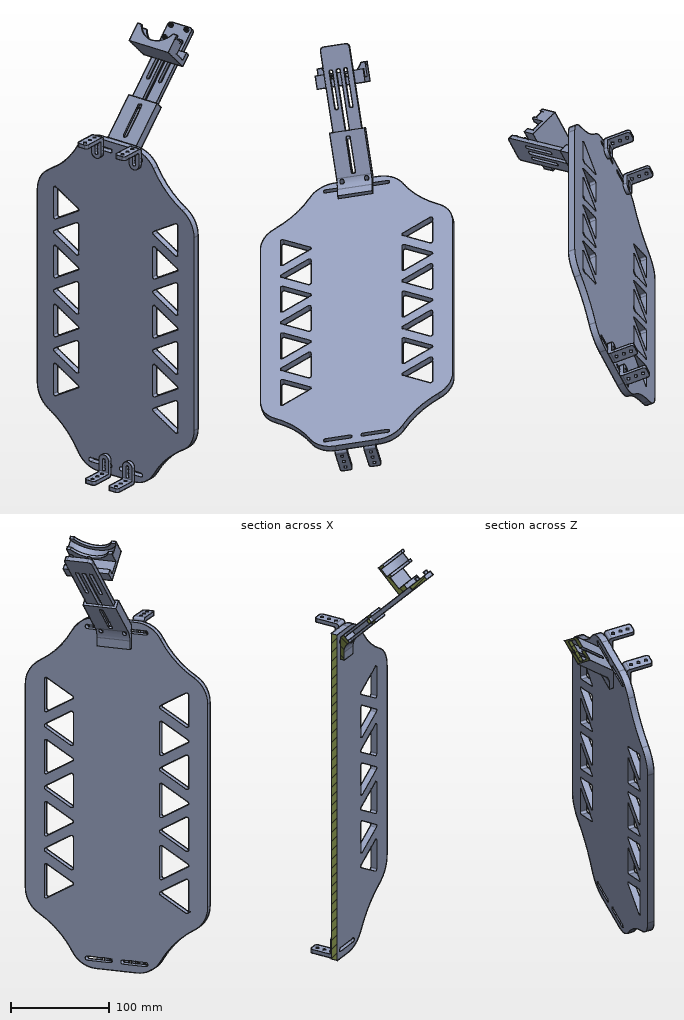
import cadquery as cq
import math

PLATE_WIDTH = 200.0
PLATE_HEIGHT = 370.0
PLATE_THICK = 7.0
CORNER_RADIUS = 30.0
SIDE_STRAIGHT = 214.5
END_STRAIGHT = 44.5
WAIST_RADIUS = 99.8

WINDOW_COUNT = 7
WINDOW_PITCH = 33.0
WINDOW_BASE = 39.0
WINDOW_ROUND = 2.0
WINDOW_EDGE = 21.0

PLATE_SLOT_LENGTH = 29.5
PLATE_SLOT_WIDTH = 4.3
PLATE_SLOT_X = 19.5
PLATE_SLOT_INSET = 10.0

BRACKET_WIDTH = 12.5
BRACKET_THICK = 4.5
BRACKET_REACH = 28.5
BRACKET_LEG = 24.0
BRACKET_BEND = 3.5
BRACKET_FILLET = 1.5
FLANGE_ROUND = 3.0
LEG_SLOT_WIDTH = 3.6
LEG_SLOT_START = 6.5
FLANGE_HOLE_DIA = 3.1
FLANGE_HOLE_PITCH = 8.0
FLANGE_HOLE_END = 5.0
TOP_BRACKET_X = [-21.5, 26.5]
BOTTOM_BRACKET_X = [-12.0, 18.0]
TOP_FLANGE_Z = 188.5
BOTTOM_FLANGE_Z = -187.0

ARM_ANGLE = 45.0
ELBOW_Y = 4.0
ELBOW_Z = 183.5

SLEEVE_WIDTH = 36.0
SLEEVE_THICK = 10.0
SLEEVE_LENGTH = 49.5
SLEEVE_SLOT_START = 5.0
SLEEVE_SLOT_END = 43.5
ARM_SLOT_WIDTH = 4.3
FOOT_THICK = 4.5
FOOT_LENGTH = 25.0
FOOT_BLEND = 15.0
FOOT_HOLE_DIA = 4.3
FOOT_HOLE_X = 13.0

SLIDER_WIDTH = 30.0
SLIDER_THICK = 4.8
SLIDER_START = 40.5
SLIDER_END = 137.0
SLIDER_ROUND = 4.0
SLOT_TOP = 112.5
SLOT_END_WALL = 4.5
SIDE_SLOT_START = 71.5
SIDE_SLOT_X = 7.5
SIDE_SLOT_WIDTH = 3.6

POST_DIA = 4.3
POST_HOLE_DIA = 2.0
POST_HEIGHT = 3.5
POST_X = 10.0
POST_PITCH = 14.3
POST_INSET = 4.0

CRADLE_WIDTH = 50.0
CRADLE_START = 95.0
CRADLE_THICK = 5.0
CRADLE_BASE = 14.0
CRADLE_HEIGHT = 34.5
HEAD_DEPTH = 15.0
HEAD_LENGTH = 20.5
SADDLE_RADIUS = 23.0
SADDLE_OFFSET = 10.0
GROOVE_RADIUS = 28.0
SADDLE_RIM = 3.0
CRADLE_HOLE_DIA = 3.6
CRADLE_HOLE_END = 4.0

EXTRA = 4.8

slider_face = -(SLEEVE_THICK - SLIDER_THICK) / 2


def mirrored_x(points):
    return [(sign * x, y) for x, y in points for sign in (-1, 1)]


def box(x_size, along, out):
    """Box centred on X = 0 between two positions along Y and two along Z."""
    return (
        cq.Workplane("XY")
        .box(x_size, along[1] - along[0], out[1] - out[0], centered=(True, False, False))
        .translate((0, along[0], out[0]))
    )


def slot_cutter(x, along, width, out):
    """Round-ended slot that runs along Y."""
    return (
        cq.Workplane("XY", origin=(x, (along[0] + along[1]) / 2, out[0]))
        .slot2D(along[1] - along[0], width, 90)
        .extrude(out[1] - out[0])
    )


def onto_arm(body):
    """Move a body from the arm frame (Y along the arm, Z out of its face, origin at the elbow)."""
    return body.rotate((0, 0, 0), (1, 0, 0), ARM_ANGLE).translate((0, ELBOW_Y, ELBOW_Z))


def plate_outline():
    side = PLATE_WIDTH / 2
    end = PLATE_HEIGHT / 2
    side_centre = (side - CORNER_RADIUS, SIDE_STRAIGHT / 2)
    end_centre = (END_STRAIGHT / 2, end - CORNER_RADIUS)

    dx = end_centre[0] - side_centre[0]
    dz = end_centre[1] - side_centre[1]
    gap = math.hypot(dx, dz)
    reach = WAIST_RADIUS + CORNER_RADIUS
    rise = math.sqrt(reach**2 - (gap / 2) ** 2)
    waist_centre = (
        (side_centre[0] + end_centre[0]) / 2 + rise * dz / gap,
        (side_centre[1] + end_centre[1]) / 2 - rise * dx / gap,
    )

    def toward(start, goal, radius):
        angle = math.atan2(goal[1] - start[1], goal[0] - start[0])
        return (start[0] + radius * math.cos(angle), start[1] + radius * math.sin(angle))

    def arc_middle(centre, first, last, radius):
        return toward(centre, ((first[0] + last[0]) / 2, (first[1] + last[1]) / 2), radius)

    side_top = (side, side_centre[1])
    waist_low = toward(side_centre, waist_centre, CORNER_RADIUS)
    waist_high = toward(end_centre, waist_centre, CORNER_RADIUS)
    end_side = (end_centre[0], end)
    quarter = (
        cq.Workplane("XZ")
        .lineTo(side, 0)
        .lineTo(*side_top)
        .threePointArc(arc_middle(side_centre, side_top, waist_low, CORNER_RADIUS), waist_low)
        .threePointArc(arc_middle(waist_centre, waist_low, waist_high, WAIST_RADIUS), waist_high)
        .threePointArc(arc_middle(end_centre, waist_high, end_side, CORNER_RADIUS), end_side)
        .lineTo(0, end)
        .close()
        .extrude(PLATE_THICK)
    )
    half = quarter.union(quarter.mirror("YZ"))
    return half.union(half.mirror("XY")).clean()


def window(inward):
    """Triangle on the right side of the plate; its tip points to the plate centre or away from it."""
    height = WINDOW_BASE * math.sqrt(3) / 2
    outer = PLATE_WIDTH / 2 - WINDOW_EDGE
    inner = outer - (height - WINDOW_ROUND)
    base = outer if inward else inner
    tip = base - height if inward else base + height
    return (
        cq.Workplane("XZ", origin=(0, EXTRA, 0))
        .polyline([(base, -WINDOW_BASE / 2), (base, WINDOW_BASE / 2), (tip, 0)])
        .close()
        .extrude(PLATE_THICK + 2 * EXTRA)
        .edges("|Y")
        .fillet(WINDOW_ROUND)
    )


def make_plate():
    plate = plate_outline()
    for i in range(WINDOW_COUNT):
        z = (i - (WINDOW_COUNT - 1) / 2) * WINDOW_PITCH
        cutter = window(inward=i % 2 == 0).translate((0, 0, z))
        plate = plate.cut(cutter).cut(cutter.mirror("YZ"))
    slot_z = PLATE_HEIGHT / 2 - PLATE_SLOT_INSET
    slots = (
        cq.Workplane("XZ", origin=(0, EXTRA, 0))
        .pushPoints(mirrored_x([(PLATE_SLOT_X, slot_z), (PLATE_SLOT_X, -slot_z)]))
        .slot2D(PLATE_SLOT_LENGTH, PLATE_SLOT_WIDTH)
        .extrude(PLATE_THICK + 2 * EXTRA)
    )
    return plate.cut(slots)


def make_bracket():
    """Bracket with its leg hanging below the flange; outer flange face at Z = 0, leg back at Y = 0."""
    leg_end_radius = BRACKET_WIDTH / 2
    flange = (
        cq.Workplane("XY")
        .box(BRACKET_WIDTH, BRACKET_REACH, BRACKET_THICK, centered=(True, False, False))
        .translate((0, -BRACKET_REACH, -BRACKET_THICK))
        .edges("|Z and <Y")
        .fillet(FLANGE_ROUND)
    )
    leg = (
        cq.Workplane("XZ")
        .moveTo(-leg_end_radius, 0)
        .lineTo(leg_end_radius, 0)
        .lineTo(leg_end_radius, leg_end_radius - BRACKET_LEG)
        .threePointArc((0, -BRACKET_LEG), (-leg_end_radius, leg_end_radius - BRACKET_LEG))
        .close()
        .extrude(BRACKET_THICK)
    )
    bracket = flange.union(leg).edges("|X and >Y and >Z").fillet(BRACKET_BEND)
    inner_corner = cq.selectors.NearestToPointSelector((0, -BRACKET_THICK, -BRACKET_THICK))
    bracket = bracket.edges(inner_corner).fillet(BRACKET_FILLET)

    slot_end = BRACKET_LEG - leg_end_radius + LEG_SLOT_WIDTH / 2
    leg_slot = (
        cq.Workplane("XZ")
        .center(0, -(LEG_SLOT_START + slot_end) / 2)
        .slot2D(slot_end - LEG_SLOT_START, LEG_SLOT_WIDTH, 90)
        .extrude(BRACKET_THICK)
    )
    first_hole = FLANGE_HOLE_END - BRACKET_REACH
    holes = (
        cq.Workplane("XY")
        .pushPoints([(0, first_hole + i * FLANGE_HOLE_PITCH) for i in range(3)])
        .circle(FLANGE_HOLE_DIA / 2)
        .extrude(-BRACKET_THICK)
    )
    return bracket.cut(leg_slot).cut(holes)


def place_brackets():
    top = make_bracket()
    bottom = top.mirror("XY")
    placed = [top.translate((x, -PLATE_THICK, TOP_FLANGE_Z)) for x in TOP_BRACKET_X]
    placed += [bottom.translate((x, -PLATE_THICK, BOTTOM_FLANGE_Z)) for x in BOTTOM_BRACKET_X]
    return placed


def make_sleeve():
    angle = math.radians(ARM_ANGLE)
    end_y = SLEEVE_LENGTH * math.sin(angle)
    end_z = SLEEVE_LENGTH * math.cos(angle)
    inner_z = FOOT_THICK / math.tan(angle) - SLEEVE_THICK / math.sin(angle)
    body = (
        cq.Workplane("YZ")
        .polyline([
            (0, 0),
            (end_y, end_z),
            (end_y + SLEEVE_THICK * math.cos(angle), end_z - SLEEVE_THICK * math.sin(angle)),
            (FOOT_THICK, inner_z),
            (FOOT_THICK, -FOOT_LENGTH),
            (0, -FOOT_LENGTH),
        ])
        .close()
        .extrude(SLEEVE_WIDTH / 2, both=True)
        .edges(cq.selectors.NearestToPointSelector((0, FOOT_THICK, inner_z)))
        .fillet(FOOT_BLEND)
        .translate((0, ELBOW_Y, ELBOW_Z))
    )
    socket = box(SLIDER_WIDTH, (SLEEVE_SLOT_START, SLEEVE_LENGTH + EXTRA), (slider_face - SLIDER_THICK, slider_face))
    slot = slot_cutter(0, (SLEEVE_SLOT_START, SLEEVE_SLOT_END), ARM_SLOT_WIDTH, (-SLEEVE_THICK - EXTRA, EXTRA))
    foot_z = PLATE_HEIGHT / 2 - PLATE_SLOT_INSET
    foot_holes = (
        cq.Workplane("XZ", origin=(0, ELBOW_Y, 0))
        .pushPoints(mirrored_x([(FOOT_HOLE_X, foot_z)]))
        .circle(FOOT_HOLE_DIA / 2)
        .extrude(-SLEEVE_THICK)
    )
    return body.cut(onto_arm(socket)).cut(onto_arm(slot)).cut(foot_holes)


def make_slider():
    back = slider_face - SLIDER_THICK
    slider = (
        box(SLIDER_WIDTH, (SLIDER_START, SLIDER_END), (back, slider_face))
        .edges("|Z and >Y")
        .fillet(SLIDER_ROUND)
    )
    through = (back, slider_face)
    slider = slider.cut(slot_cutter(0, (SLIDER_START + SLOT_END_WALL, SLOT_TOP), ARM_SLOT_WIDTH, through))
    for x in (-SIDE_SLOT_X, SIDE_SLOT_X):
        slider = slider.cut(slot_cutter(x, (SIDE_SLOT_START, SLOT_TOP), SIDE_SLOT_WIDTH, through))
    upper_post = SLIDER_END - POST_INSET
    posts = (
        cq.Workplane("XY", origin=(0, 0, slider_face))
        .pushPoints(mirrored_x([(POST_X, upper_post), (POST_X, upper_post - POST_PITCH)]))
        .circle(POST_DIA / 2)
        .circle(POST_HOLE_DIA / 2)
        .extrude(POST_HEIGHT)
    )
    return onto_arm(slider.union(posts))


def make_cradle():
    top = slider_face + CRADLE_HEIGHT
    head_end = CRADLE_START + HEAD_LENGTH
    base_end = CRADLE_START + CRADLE_BASE
    base = box(CRADLE_WIDTH, (CRADLE_START, base_end), (slider_face, slider_face + CRADLE_THICK))
    wall = box(CRADLE_WIDTH, (CRADLE_START, CRADLE_START + CRADLE_THICK), (slider_face, top))
    head = box(CRADLE_WIDTH, (CRADLE_START, head_end), (top - HEAD_DEPTH, top))

    def saddle(radius, out):
        return (
            cq.Workplane("XY", origin=(0, head_end + SADDLE_OFFSET, out[0]))
            .circle(radius)
            .extrude(out[1] - out[0])
        )

    cradle = base.union(wall).union(head)
    cradle = cradle.cut(saddle(SADDLE_RADIUS, (top - HEAD_DEPTH, top)))
    cradle = cradle.cut(saddle(GROOVE_RADIUS, (top - HEAD_DEPTH + SADDLE_RIM, top - SADDLE_RIM)))
    holes = (
        cq.Workplane("XY", origin=(0, 0, slider_face))
        .pushPoints(mirrored_x([(SIDE_SLOT_X, base_end - CRADLE_HOLE_END)]))
        .circle(CRADLE_HOLE_DIA / 2)
        .extrude(CRADLE_THICK)
    )
    return onto_arm(cradle.cut(holes))


plate = make_plate()
brackets = place_brackets()
sleeve = make_sleeve()
slider = make_slider()
cradle = make_cradle()

result = cq.Compound.makeCompound(
    [plate.val(), *[bracket.val() for bracket in brackets], sleeve.val(), slider.val(), cradle.val()]
)